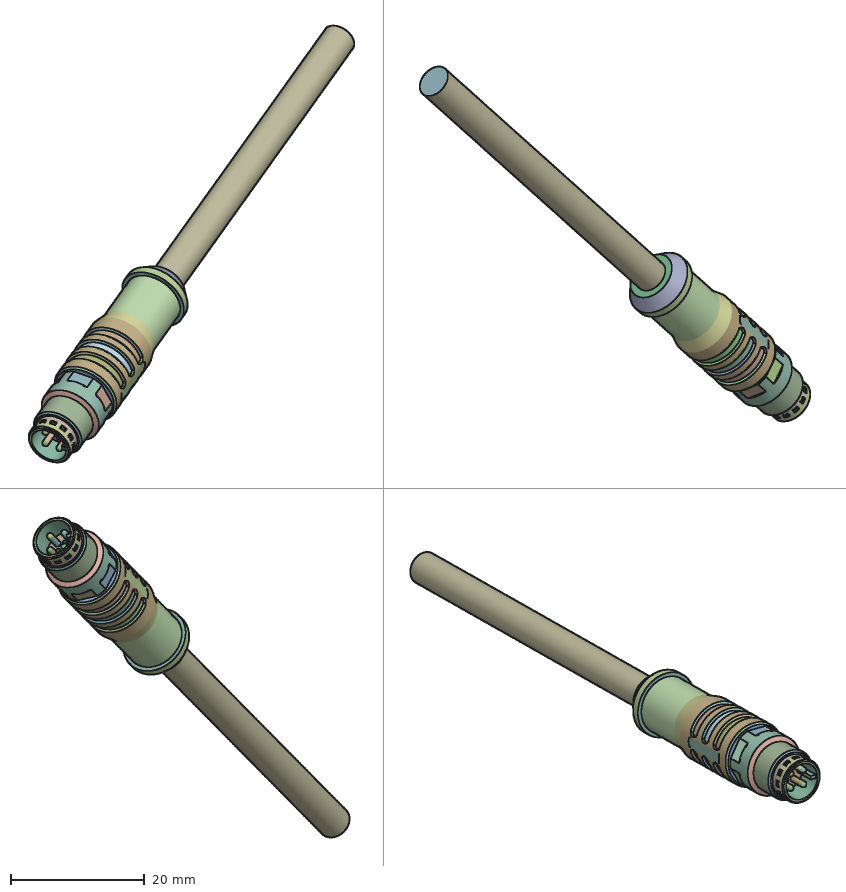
import cadquery as cq
import math

length = 97.55
plug_face = -length / 2


def station(distance):
    """Y coordinate at a distance behind the plug face."""
    return plug_face + distance


nose_dia = 6.9
nose_neck_dia = 6.8
nose_face_dia = 6.5
cup_dia = 5.8
sleeve_dia = 8.0
nut_dia = 9.6
gap_dia = 6.5
grip_dia = 10.3
grip_floor_dia = 9.6
barrel_dia = 9.1
tail_end_dia = 7.4
cable_dia = 5.1
pin_dia = 1.0

nose_lip_end = 1.8
nose_neck_start = 2.0
sleeve_start = 2.7
nut_start = 6.8
nut_flats_start = 9.6
nut_end = 11.7
grip_start = 12.1
grip_end = 24.2
barrel_start = 26.5
flange_start = 35.0
flange_end = 36.3
tail_end = 38.3

sleeve_chamfer = 0.3
nut_front_slope = 0.4
grip_chamfer = 0.3

flat_count = 6
nut_across_flats = 9.0

groove_count = 3
groove_pitch = 2.9
first_groove = 15.1
groove_width = 1.7
groove_floor_width = 1.3
groove_end_height = 1.1
side_flat_start = 14.1
side_flat_length = 7.8
side_flat_width = 1.6
side_flat_corner = 0.4

cup_depth = 3.9
pin_spacing = 2.3
pin_setback = 0.8
key_width = 0.6
key_inner = 1.95
key_setback = 0.4
spare_hole_dia = 0.7
spare_hole_depth = 1.0
middle_hole_x = 0.2

notch_count = 12
notch_width = 0.9
notch_start = 1.2
notch_depth = 0.2


def revolve(points):
    """Solid of revolution about the Y axis from (radius, distance) points."""
    profile = [(radius, station(distance)) for radius, distance in points]
    return cq.Workplane("XY").polyline(profile).close().revolve(360, (0, 0, 0), (0, 1, 0))


def disc_bar(dia, start, end):
    """Cylinder along Y between two distances behind the plug face."""
    return cq.Workplane("XZ", origin=(0, station(start), 0)).circle(dia / 2).extrude(start - end)


def body():
    """Stepped outside of the nose, sleeve, nut, grip, barrel, tail and cable."""
    return revolve([
        (0, 0),
        (nose_face_dia / 2, 0),
        (nose_dia / 2, (nose_dia - nose_face_dia) / 2),
        (nose_dia / 2, nose_lip_end),
        (nose_neck_dia / 2, nose_neck_start),
        (nose_neck_dia / 2, sleeve_start),
        (sleeve_dia / 2 - sleeve_chamfer, sleeve_start),
        (sleeve_dia / 2, sleeve_start + sleeve_chamfer),
        (sleeve_dia / 2, nut_start),
        (nut_dia / 2, nut_start + nut_front_slope),
        (nut_dia / 2, nut_end),
        (gap_dia / 2, nut_end),
        (gap_dia / 2, grip_start),
        (grip_dia / 2 - grip_chamfer, grip_start),
        (grip_dia / 2, grip_start + grip_chamfer),
        (grip_dia / 2, grip_end),
        (barrel_dia / 2, barrel_start),
        (barrel_dia / 2, flange_start),
        (grip_dia / 2, flange_start),
        (grip_dia / 2, flange_end),
        (tail_end_dia / 2, tail_end),
        (cable_dia / 2, tail_end),
        (cable_dia / 2, length),
        (0, length),
    ])


def nut_flats():
    """Material outside a hexagon over the rear of the nut, with flats facing +Z and -Z."""
    corner_dia = nut_across_flats / math.cos(math.pi / flat_count)
    ring = disc_bar(2 * nut_dia, nut_flats_start, nut_end)
    hexagon = (
        cq.Workplane("XZ", origin=(0, station(nut_flats_start), 0))
        .polygon(flat_count, corner_dia)
        .extrude(nut_flats_start - nut_end)
    )
    return ring.cut(hexagon)


def grip_grooves():
    """Round grooves with sloped walls, stopped with round ends above and below each side."""
    outside = grip_dia / 2
    floor = grip_floor_dia / 2
    reach = grip_dia / 2 + groove_width
    cutters = cq.Workplane("XY")
    for index in range(groove_count):
        middle = first_groove + index * groove_pitch
        ring = revolve([
            (floor, middle - groove_floor_width / 2),
            (outside, middle - groove_width / 2),
            (outside, middle + groove_width / 2),
            (floor, middle + groove_floor_width / 2),
        ])
        slot_length = reach - groove_end_height
        slot_middle = (reach + groove_end_height) / 2
        slots = (
            cq.Workplane("YZ", origin=(0, station(middle), 0))
            .pushPoints([(0, slot_middle), (0, -slot_middle)])
            .slot2D(slot_length, groove_width, 90)
            .extrude(grip_dia, both=True)
        )
        cutters = cutters.add(ring.intersect(slots))
    return cutters.combine()


def side_flats():
    """Shallow flats on the -X and +X sides of the grip."""
    flat_offset = math.sqrt((grip_dia / 2) ** 2 - (side_flat_width / 2) ** 2)
    cutter_depth = 1.0
    cutter_x = flat_offset + cutter_depth / 2
    middle = station(side_flat_start + side_flat_length / 2)
    return (
        cq.Workplane("XY")
        .pushPoints([(-cutter_x, middle), (cutter_x, middle)])
        .box(cutter_depth, side_flat_length, side_flat_width)
        .edges("|X and >Y")
        .fillet(side_flat_corner)
    )


def lip_notches():
    """Evenly spaced shallow notches across the rear of the nose lip."""
    middle = station((notch_start + nose_lip_end) / 2)
    notch = (
        cq.Workplane("XY")
        .box(2 * notch_depth, nose_lip_end - notch_start, notch_width)
        .translate((nose_dia / 2, middle, 0))
    )
    cutters = cq.Workplane("XY")
    for index in range(notch_count):
        cutters = cutters.add(notch.rotate((0, 0, 0), (0, 1, 0), index * 360 / notch_count))
    return cutters.combine()


def pins():
    """Four contacts with hemispherical tips standing on the cup floor."""
    tip_centre = pin_setback + pin_dia / 2
    shank = disc_bar(pin_dia, tip_centre, cup_depth)
    tip = cq.Workplane("XY").sphere(pin_dia / 2).translate((0, station(tip_centre), 0))
    pin = shank.union(tip)
    offset = pin_spacing / 2
    contacts = cq.Workplane("XY")
    for x in (-offset, offset):
        for z in (-offset, offset):
            contacts = contacts.add(pin.translate((x, 0, z)))
    return contacts.combine()


def key():
    """Coding key on the +X side of the cup wall."""
    outer = (cup_dia + nose_face_dia) / 4
    depth = cup_depth - key_setback
    bar = cq.Workplane("XY").box(outer - key_inner, depth, key_width)
    return bar.translate(((outer + key_inner) / 2, station(key_setback + depth / 2), 0))


def spare_holes():
    """Shallow holes in the cup floor, between the contacts on three sides and near the middle."""
    offset = pin_spacing / 2
    hole = disc_bar(spare_hole_dia, cup_depth, cup_depth + spare_hole_depth)
    cutters = cq.Workplane("XY")
    for x, z in ((0, offset), (0, -offset), (-offset, 0), (middle_hole_x, 0)):
        cutters = cutters.add(hole.translate((x, 0, z)))
    return cutters.combine()


result = (
    body()
    .cut(disc_bar(cup_dia, 0, cup_depth))
    .cut(lip_notches())
    .cut(nut_flats())
    .cut(grip_grooves())
    .cut(side_flats())
    .cut(spare_holes())
    .union(pins())
    .union(key())
)